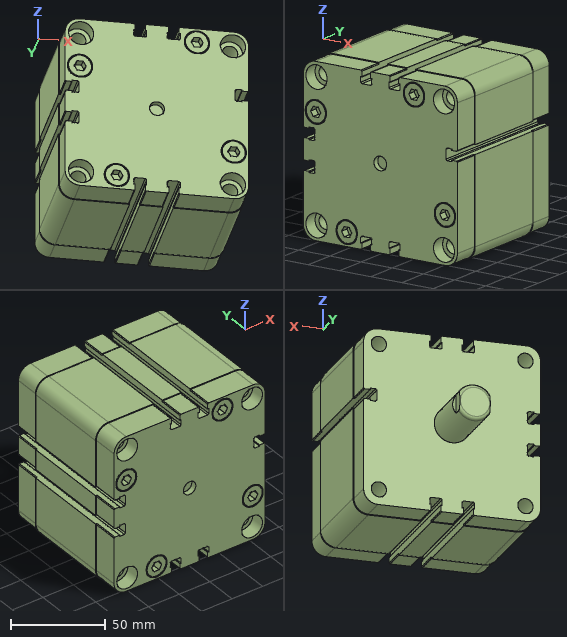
import cadquery as cq

total_length = 124.0
cap_length = 16.0
barrel_length = 54.1
body_length = 2 * cap_length + barrel_length

barrel_width = 100.0
barrel_corner_radius = 8.4
cap_inset = 0.5

slot_depth = 7.9
slot_mouth_width = 5.5
slot_undercut_width = 7.0
slot_undercut_height = 3.7
slot_corner_bevel = 0.7
cap_mouth_bevel = 0.5
slot_pair_offset = 9.0
single_slot_offset = 12.0

mount_offset = 40.9
mount_hole_diameter = 8.4
mount_bore_diameter = 13.5
mount_bore_depth = 8.5

screw_side_offset = 21.6
screw_edge_offset = 41.4
screw_seat_diameter = 13.5
screw_head_diameter = 12.5
screw_gap_depth = 1.0
hex_across_corners = 6.5
hex_depth = 5.0

centre_hole_diameter = 8.0
centre_hole_depth = 3.6

rod_diameter = 20.0
rod_tip_radius = 1.9
flat_spacing = 17.0
flat_length = 6.1

front_y = -total_length / 2
rod_start_y = front_y + body_length
tip_y = total_length / 2


def plane_at(y):
    """Sketch plane facing +Y, with local axes along +Z and +X."""
    return cq.Workplane(cq.Plane(origin=(0, y, 0), xDir=(0, 0, 1), normal=(0, 1, 0)))


def rounded_block(start_y, length, width, corner_radius):
    block = plane_at(start_y).rect(width, width).extrude(length)
    return block.edges("|Y").fillet(corner_radius)


def cylinder(x, z, start_y, diameter, length):
    return plane_at(start_y).center(z, x).circle(diameter / 2).extrude(length)


def turned(shape, angle):
    """Turn a shape about the long axis of the part."""
    return shape.rotate((0, 0, 0), (0, 1, 0), angle)


def make_body():
    cap_width = barrel_width - 2 * cap_inset
    cap_corner_radius = barrel_corner_radius - cap_inset
    barrel = rounded_block(front_y + cap_length, barrel_length, barrel_width, barrel_corner_radius)
    caps = rounded_block(front_y, body_length, cap_width, cap_corner_radius)
    return barrel.union(caps)


def make_slot(x):
    """Slot cutter along the full body, opening through the top (+Z) side at the given X."""
    top = barrel_width / 2
    bottom = top - slot_depth
    undercut_top = bottom + slot_undercut_height
    half_mouth = slot_mouth_width / 2
    half_undercut = slot_undercut_width / 2
    right_half = [
        (half_mouth, top),
        (half_mouth, undercut_top),
        (half_undercut, undercut_top),
        (half_undercut, bottom + slot_corner_bevel),
        (half_undercut - slot_corner_bevel, bottom),
    ]
    left_half = [(-across, height) for across, height in reversed(right_half)]
    outline = [(height, x + across) for across, height in right_half + left_half]
    return plane_at(front_y).polyline(outline).close().extrude(body_length)


def make_mouth_bevels(x):
    """Wedge cutters that break both mouth edges of a slot, on the two caps only."""
    cap_top = barrel_width / 2 - cap_inset
    half_mouth = slot_mouth_width / 2
    outline = [
        (cap_top, x - half_mouth - cap_mouth_bevel),
        (cap_top, x + half_mouth + cap_mouth_bevel),
        (cap_top - cap_mouth_bevel, x + half_mouth),
        (cap_top - cap_mouth_bevel, x - half_mouth),
    ]
    front = plane_at(front_y).polyline(outline).close().extrude(cap_length)
    return front.union(front.translate((0, cap_length + barrel_length, 0)))


def cut_slots(body):
    slots = [(x, angle) for angle in (0, 180, 270) for x in (-slot_pair_offset, slot_pair_offset)]
    slots.append((-single_slot_offset, 90))
    for x, angle in slots:
        cutter = make_slot(x).union(make_mouth_bevels(x))
        body = body.cut(turned(cutter, angle))
    return body


def cut_mounting_holes(body):
    for x in (-mount_offset, mount_offset):
        for z in (-mount_offset, mount_offset):
            body = body.cut(cylinder(x, z, front_y, mount_hole_diameter, body_length))
            body = body.cut(cylinder(x, z, front_y, mount_bore_diameter, mount_bore_depth))
    return body


def make_hex_socket(x, z):
    """Hexagonal socket with two of its corners pointing along X."""
    upright = plane_at(front_y).polygon(6, hex_across_corners).extrude(hex_depth)
    return turned(upright, 90).translate((x, 0, z))


def cut_screws(body):
    x, z = screw_side_offset, screw_edge_offset
    for screw_x, screw_z in ((x, z), (z, -x), (-x, -z), (-z, x)):
        seat = cylinder(screw_x, screw_z, front_y, screw_seat_diameter, screw_gap_depth)
        head = cylinder(screw_x, screw_z, front_y, screw_head_diameter, screw_gap_depth)
        body = body.cut(seat.cut(head))
        body = body.cut(make_hex_socket(screw_x, screw_z))
    return body


def make_rod():
    radius = rod_diameter / 2
    rod = cylinder(0, 0, rod_start_y, rod_diameter, tip_y - rod_start_y)
    rod = rod.faces(">Y").edges().fillet(rod_tip_radius)
    flat_x = flat_spacing / 2
    flat_start_y = tip_y - flat_length
    run_out = radius - flat_x
    flat_outline = [
        (flat_x, tip_y),
        (flat_x, flat_start_y),
        (radius, flat_start_y - run_out),
        (radius, tip_y),
    ]
    flat = cq.Workplane("XY").polyline(flat_outline).close().extrude(radius, both=True)
    return rod.cut(flat).cut(flat.mirror("YZ"))


body = cut_slots(make_body())
body = cut_mounting_holes(body)
body = cut_screws(body)
body = body.cut(cylinder(0, 0, front_y, centre_hole_diameter, centre_hole_depth))
result = body.union(make_rod())